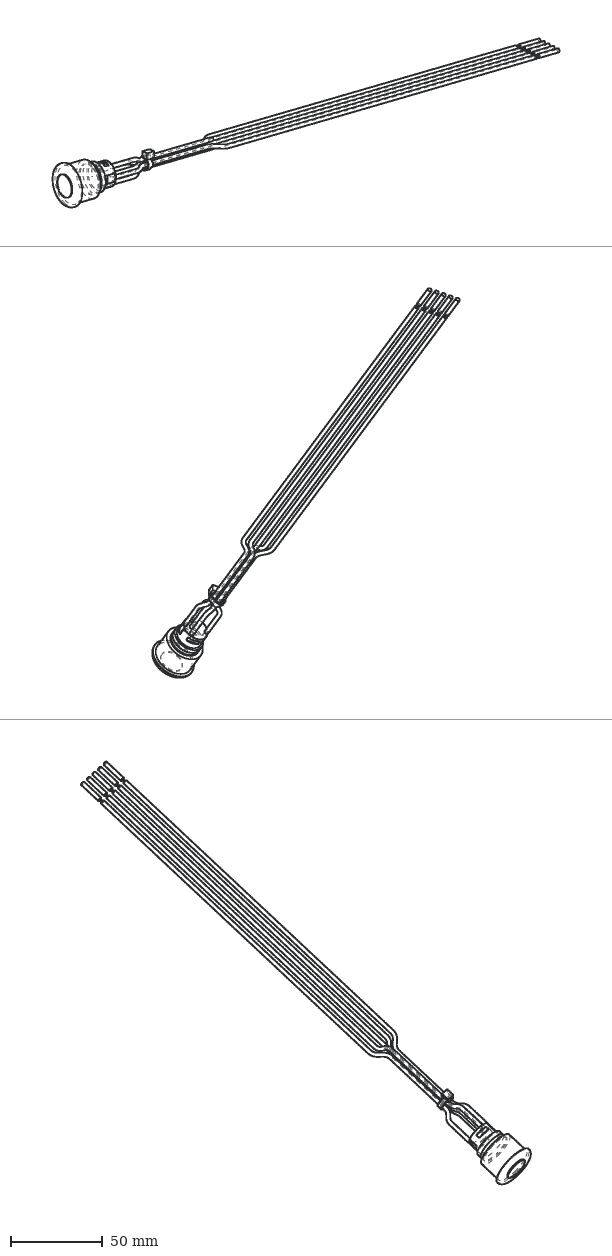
import cadquery as cq
import math


total_length = 329.2

button_diameter = 13.2
button_rise = 0.3
seat_diameter = 17.5
seat_depth = 0.3
rim_front_diameter = 20.7
rim_diameter = 25.0
rim_round_end_y = 2.3
rim_edge_end_y = 3.0
rim_back_y = 3.3
body_diameter = 22.0
body_back_y = 16.5

neck_diameter = 17.5
neck_back_y = 21.7
groove_diameter = 17.0
groove_front_y = 17.0
groove_back_y = 19.0
barrel_diameter = 14.8
barrel_back_y = 29.5

pocket_front_y = 25.5
pocket_back_y = 27.5
pocket_width = 7.2
notch_front_y = 24.0
notch_width = 5.0
notch_depth = 0.3

lead_diameter = 2.4
core_diameter = 1.1
bundle_pitch = 2.47
tail_pitch = 4.3
terminal_outer_x = 6.5
terminal_inner_x = 2.47
terminal_z = 5.0
front_spread_start_y = 44.5
front_spread_end_y = 52.7
outer_rear_spread = (94.8, 106.0)
inner_rear_spread = (97.0, 106.0)
strip_gap = 2.0
slug_length = 13.5
core_embedment = 2.0
tail_end_y = total_length - slug_length - strip_gap

tie_y = 55.5
tie_band_width = 3.0
tie_thickness = 0.82
tie_head_length = 5.0
tie_head_width = 4.0
tie_head_bottom_z = 3.3
tie_head_top_z = 7.2

LEADS = [
    ((-terminal_outer_x, 0), (-bundle_pitch, 0), -2 * tail_pitch, outer_rear_spread),
    ((terminal_inner_x, terminal_z), (0, bundle_pitch), -tail_pitch, inner_rear_spread),
    ((terminal_inner_x, 0), (0, 0), 0, inner_rear_spread),
    ((terminal_inner_x, -terminal_z), (0, -bundle_pitch), tail_pitch, inner_rear_spread),
    ((terminal_outer_x, 0), (bundle_pitch, 0), 2 * tail_pitch, outer_rear_spread),
]


def chord_offset(diameter, width):
    """Distance from the axis to the flat whose width across a cylinder is given."""
    return math.sqrt((diameter / 2) ** 2 - (width / 2) ** 2)


def make_button():
    """Revolve the button, rim, body, neck and barrel about the Y axis."""
    face_y = button_rise
    seat_y = face_y + seat_depth
    rim_front_radius = rim_front_diameter / 2
    rim_radius = rim_diameter / 2
    rim_round_middle = (
        rim_front_radius + (rim_radius - rim_front_radius) * math.sin(math.pi / 4),
        rim_round_end_y - (rim_round_end_y - face_y) * math.cos(math.pi / 4),
    )
    profile = (
        cq.Workplane("XY")
        .lineTo(button_diameter / 2, 0)
        .lineTo(button_diameter / 2, seat_y)
        .lineTo(seat_diameter / 2, seat_y)
        .lineTo(rim_front_radius, face_y)
        .threePointArc(rim_round_middle, (rim_radius, rim_round_end_y))
        .lineTo(rim_radius, rim_edge_end_y)
        .lineTo(body_diameter / 2, rim_back_y)
        .lineTo(body_diameter / 2, body_back_y)
        .lineTo(neck_diameter / 2, body_back_y)
        .lineTo(neck_diameter / 2, groove_front_y)
        .lineTo(groove_diameter / 2, groove_front_y)
        .lineTo(groove_diameter / 2, groove_back_y)
        .lineTo(neck_diameter / 2, groove_back_y)
        .lineTo(neck_diameter / 2, neck_back_y)
        .lineTo(barrel_diameter / 2, neck_back_y)
        .lineTo(barrel_diameter / 2, barrel_back_y)
        .lineTo(0, barrel_back_y)
        .close()
    )
    return profile.revolve(360, (0, 0), (0, 1))


def make_rod(x, z, start_y, end_y, diameter):
    """Straight round rod along Y."""
    plane = cq.Plane(origin=(x, start_y, z), xDir=(1, 0, 0), normal=(0, 1, 0))
    return cq.Workplane(plane).circle(diameter / 2).extrude(end_y - start_y)


def make_barrel_cutters():
    """Flat pockets above and below the barrel, shallow notches open to the rear on its sides."""
    reach = barrel_diameter
    pocket_floor = chord_offset(barrel_diameter, pocket_width)
    pocket = cq.Workplane("XY").box(
        reach, pocket_back_y - pocket_front_y, reach, centered=(True, False, False)
    ).translate((0, pocket_front_y, pocket_floor))
    notch_core = make_rod(0, 0, notch_front_y, barrel_back_y, barrel_diameter - 2 * notch_depth)
    notches = cq.Workplane("XY").box(
        2 * reach, barrel_back_y - notch_front_y, notch_width, centered=(True, False, True)
    ).translate((0, notch_front_y, 0)).cut(notch_core)
    return [pocket, pocket.mirror("XY"), notches]


def make_lead(terminal, bundled, tail_x, rear_spread):
    """One insulated lead from its terminal to the stripped end, with its loose slug."""
    axis = cq.Vector(0, 1, 0)
    stations = [
        cq.Vector(terminal[0], barrel_back_y, terminal[1]),
        cq.Vector(terminal[0], front_spread_start_y, terminal[1]),
        cq.Vector(bundled[0], front_spread_end_y, bundled[1]),
        cq.Vector(bundled[0], rear_spread[0], bundled[1]),
        cq.Vector(tail_x, rear_spread[1], 0),
        cq.Vector(tail_x, tail_end_y, 0),
    ]
    edges = []
    for begin, end in zip(stations, stations[1:]):
        if begin.x == end.x and begin.z == end.z:
            edges.append(cq.Edge.makeLine(begin, end))
        else:
            edges.append(cq.Edge.makeSpline([begin, end], tangents=[axis, axis]))
    path = cq.Workplane("XY").newObject([cq.Wire.assembleEdges(edges)])
    plane = cq.Plane(origin=stations[0].toTuple(), xDir=(1, 0, 0), normal=(0, 1, 0))
    insulation = cq.Workplane(plane).circle(lead_diameter / 2).sweep(path)

    core = make_rod(tail_x, 0, tail_end_y - core_embedment, total_length, core_diameter)
    slug = make_rod(tail_x, 0, tail_end_y + strip_gap, total_length, lead_diameter)
    return insulation.union(core).union(slug)


def make_tie():
    """Cable tie: a strap pulled flat across the four outer leads, with its lock head on top."""
    strap_front_y = tie_y - tie_band_width / 2
    plane = cq.Plane(origin=(0, strap_front_y, 0), xDir=(1, 0, 1), normal=(0, 1, 0))
    side = bundle_pitch * math.sqrt(2) + lead_diameter
    inside = cq.Workplane(plane).rect(side, side).extrude(tie_band_width)
    inside = inside.edges("|Y").fillet(lead_diameter / 2)
    strap = inside.faces("|Y").shell(tie_thickness)
    head = cq.Workplane("XY").box(
        tie_head_width, tie_head_length, tie_head_top_z - tie_head_bottom_z,
        centered=(False, True, False),
    ).translate((0, tie_y, tie_head_bottom_z))
    return strap.union(head)


result = make_button()
for cutter in make_barrel_cutters():
    result = result.cut(cutter)
for lead in LEADS:
    result = result.union(make_lead(*lead))
result = result.union(make_tie())